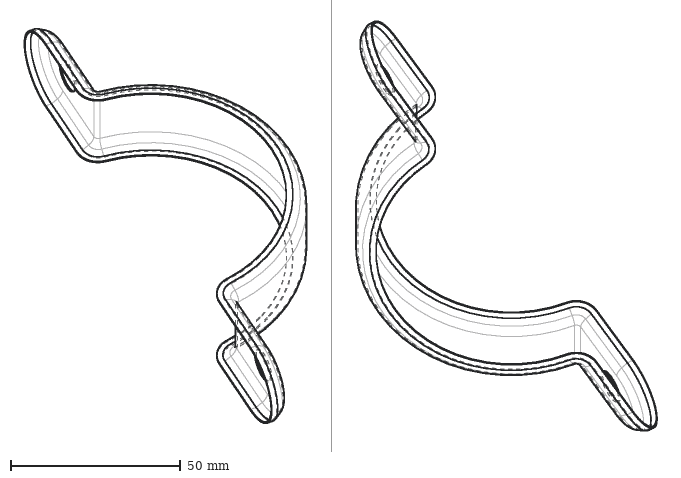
import cadquery as cq
import math


length = 162.0
depth = 47.0
width = 28.0

sheet = 0.5
rim_depth = 6.0
lip_length = 2.0
slope_start = 2.0
slope_angle = 30.0

hole_diameter = 10.0
hole_spacing = 127.8
bend_radius = 1.0

strap_center_y = 1.0

half_width = width / 2
ear_end_x = length / 2 - half_width
strap_radius = depth - strap_center_y
bend_center_y = rim_depth + bend_radius
bend_rise = bend_center_y - strap_center_y
bend_x = math.sqrt((strap_radius + bend_radius) ** 2 - bend_rise ** 2)
bend_angle = math.degrees(math.atan2(bend_x, bend_rise))

slope = math.radians(slope_angle)
kink_depth = rim_depth - lip_length
corner_radius = slope_start / (1 - math.sin(slope))
slope_inset = (kink_depth - slope_start) * math.tan(slope)
corner_center_z = half_width - slope_inset - corner_radius * math.cos(slope)


def corner_point(inset, angle):
    """Point on the corner round; the angle is measured from the width direction."""
    radius = corner_radius - inset
    across = radius * math.sin(angle) - corner_radius
    return (across, corner_center_z + radius * math.cos(angle))


def rim_points(inset):
    """Kink, then start, middle and end of the corner round, on one face of the sheet."""
    kink = (-kink_depth - inset * math.tan(slope / 2), half_width - inset)
    middle_angle = (slope + math.pi / 2) / 2
    round_angles = (slope, middle_angle, math.pi / 2)
    return [kink] + [corner_point(inset, angle) for angle in round_angles]


def half_section(x, back_y):
    """Upper half of the sheet cross-section, with its back face at the given place."""
    outer_kink, outer_start, outer_middle, outer_end = rim_points(0)
    inner_kink, inner_start, inner_middle, inner_end = rim_points(sheet)
    return (
        cq.Workplane("YZ", origin=(x, back_y, 0))
        .moveTo(0, 0)
        .lineTo(*outer_end)
        .threePointArc(outer_middle, outer_start)
        .lineTo(*outer_kink)
        .lineTo(-rim_depth, half_width)
        .lineTo(-rim_depth, half_width - sheet)
        .lineTo(*inner_kink)
        .lineTo(*inner_start)
        .threePointArc(inner_middle, inner_end)
        .lineTo(-sheet, 0)
        .close()
    )


strap = half_section(0, depth).revolve(bend_angle, (-strap_radius, 0), (-strap_radius, -1))
bend = half_section(bend_x, rim_depth).revolve(bend_angle, (bend_radius, 0), (bend_radius, -1))
ear = half_section(bend_x, rim_depth).extrude(ear_end_x - bend_x)
ear_end = half_section(ear_end_x, rim_depth).revolve(90, (-1.6, 0), (0, 0))
quarter = strap.union(bend).union(ear).union(ear_end)

half = quarter.union(quarter.mirror("XY"))
clamp = half.union(half.mirror("YZ"))

holes = (
    cq.Workplane("XZ")
    .pushPoints([(-hole_spacing / 2, 0), (hole_spacing / 2, 0)])
    .circle(hole_diameter / 2)
    .extrude(-depth)
)
result = clamp.cut(holes)